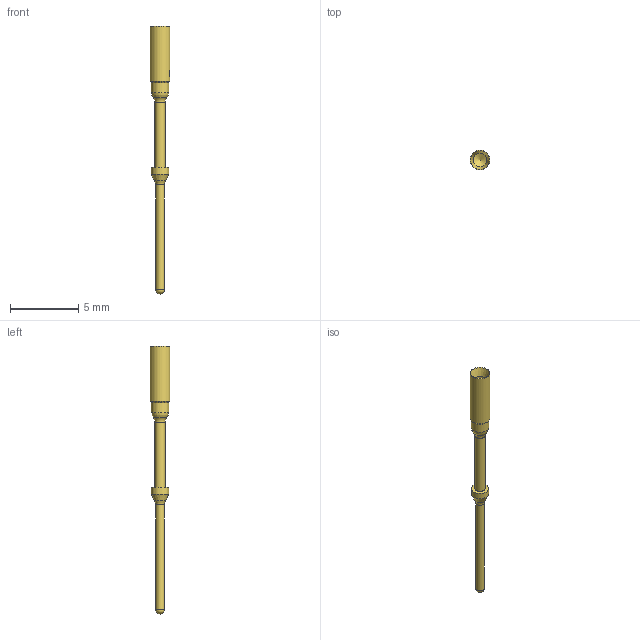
import cadquery as cq
import math

BARREL_DIA = 1.45
SHOULDER_DIA = 1.27
SHAFT_DIA = 0.75
COLLAR_DIA = SHOULDER_DIA
PIN_DIA = 0.63

TOTAL_LENGTH = 19.7
BARREL_BOTTOM = TOTAL_LENGTH - 4.05
BLEND_TOP = TOTAL_LENGTH - 4.9
SHAFT_TOP = TOTAL_LENGTH - 5.62
COLLAR_TOP = TOTAL_LENGTH - 10.4
COLLAR_TAPER_START = COLLAR_TOP - 0.48
PIN_TOP = COLLAR_TOP - 1.28

TAPER_ANGLE = 40
PIN_FILLET = 0.5

BORE_DIA = 1.0
MOUTH_DIA = 1.38
MOUTH_DEPTH = 0.65
BORE_DEPTH = 4.0
DRILL_POINT_ANGLE = 118

INSPECTION_DIA = 0.57
INSPECTION_Z = TOTAL_LENGTH - 3.5


def make_body():
    """Revolve the stepped outer profile, drawn as radius against height."""
    barrel_r = BARREL_DIA / 2
    shoulder_r = SHOULDER_DIA / 2
    shaft_r = SHAFT_DIA / 2
    collar_r = COLLAR_DIA / 2
    pin_r = PIN_DIA / 2
    tip_mid = pin_r * math.sqrt(0.5)

    taper = math.radians(TAPER_ANGLE)
    shoulder_top = BARREL_BOTTOM - (barrel_r - shoulder_r) / math.tan(taper)

    blend_step = shoulder_r - shaft_r
    blend_length = BLEND_TOP - SHAFT_TOP
    blend_angle = 2 * math.atan(blend_step / blend_length)
    blend_radius = blend_length / (2 * math.sin(blend_angle))
    blend_middle = ((shoulder_r + shaft_r) / 2, (BLEND_TOP + SHAFT_TOP) / 2)
    arc_mid_step = blend_radius * (1 - math.cos(blend_angle / 2))
    arc_mid_drop = blend_radius * math.sin(blend_angle / 2)
    concave_mid = (shaft_r + arc_mid_step, SHAFT_TOP + arc_mid_drop)
    convex_mid = (shoulder_r - arc_mid_step, BLEND_TOP - arc_mid_drop)

    fillet_centre_r = pin_r + PIN_FILLET

    def pin_fillet_point(angle):
        return (
            fillet_centre_r - PIN_FILLET * math.cos(angle),
            PIN_TOP + PIN_FILLET * math.sin(angle),
        )

    profile = (
        cq.Workplane("XZ")
        .moveTo(0, 0)
        .threePointArc((tip_mid, pin_r - tip_mid), (pin_r, pin_r))
        .lineTo(pin_r, PIN_TOP)
        .threePointArc(pin_fillet_point(taper / 2), pin_fillet_point(taper))
        .lineTo(collar_r, COLLAR_TAPER_START)
        .lineTo(collar_r, COLLAR_TOP)
        .lineTo(shaft_r, COLLAR_TOP)
        .lineTo(shaft_r, SHAFT_TOP)
        .threePointArc(concave_mid, blend_middle)
        .threePointArc(convex_mid, (shoulder_r, BLEND_TOP))
        .lineTo(shoulder_r, shoulder_top)
        .lineTo(barrel_r, BARREL_BOTTOM)
        .lineTo(barrel_r, TOTAL_LENGTH)
        .lineTo(0, TOTAL_LENGTH)
        .close()
    )
    return profile.revolve(360, (0, 0), (0, 1))


def make_bore():
    """Flared mouth, straight bore and drill point as one revolved cutter."""
    bore_r = BORE_DIA / 2
    bore_bottom = TOTAL_LENGTH - BORE_DEPTH
    point_depth = bore_r / math.tan(math.radians(DRILL_POINT_ANGLE / 2))
    profile = (
        cq.Workplane("XZ")
        .moveTo(0, bore_bottom - point_depth)
        .lineTo(bore_r, bore_bottom)
        .lineTo(bore_r, TOTAL_LENGTH - MOUTH_DEPTH)
        .lineTo(MOUTH_DIA / 2, TOTAL_LENGTH)
        .lineTo(0, TOTAL_LENGTH)
        .close()
    )
    return profile.revolve(360, (0, 0), (0, 1))


def make_inspection_hole():
    """Radial cutter running from the axis out through the +X wall."""
    return cq.Workplane("YZ").center(0, INSPECTION_Z).circle(INSPECTION_DIA / 2).extrude(BARREL_DIA)


result = make_body().cut(make_bore()).cut(make_inspection_hole())